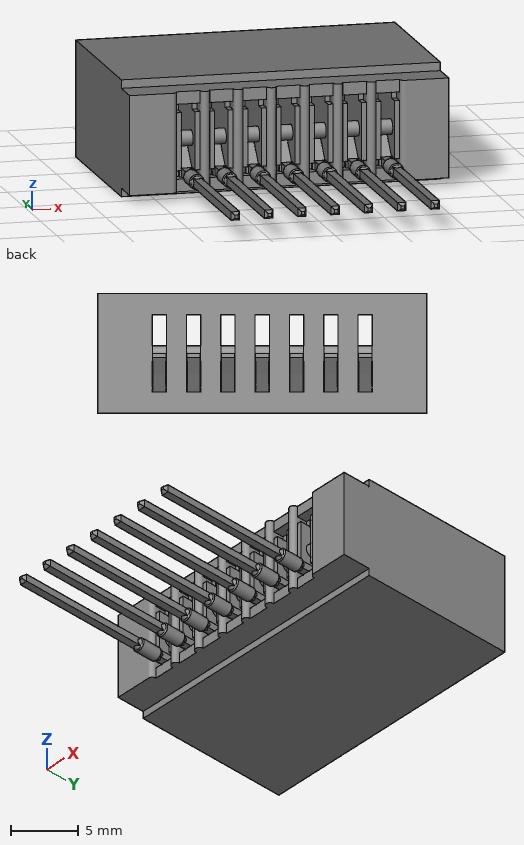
import cadquery as cq
import math


housing_width = 24.37
housing_depth = 16.38
housing_height = 8.88
nose_depth = 2.55
nose_height = 7.6

contact_count = 7
pitch = 2.55
contact_places = [(i - (contact_count - 1) / 2) * pitch for i in range(contact_count)]

rib_radius = 0.37
notch_depth = 0.4
notch_width = pitch - 2 * rib_radius

slot_width = 1.05
slot_height = 5.7
pocket_height = 0.65
pocket_depth = 0.92

stop_bar_radius = 0.58
stop_bar_y = 1.53

pin_width = 0.65
pin_length = 14.25
tip_length = 0.3
tip_width = 0.25
pin_z = -slot_height / 2 + pin_width / 2

collar_radius = 0.565
collar_front = -2.3
collar_back = -0.37
collar_chamfer = 0.1
collar_cone_radius = collar_radius - collar_chamfer
collar_cone_length = 0.3

spring_width = 0.98
spring_start = 1.07
spring_thickness = 0.3
ramp_start_y = 1.22
spring_bend_y = 2.15
spring_bend_z = -1.22
spring_end_y = 3.05
spring_end_z = 0.0


def box_between(width, y_front, y_back, height, x=0, z=0):
    """Box centred on x and z, reaching from y_front to y_back."""
    depth = y_back - y_front
    return cq.Workplane("XY").box(width, depth, height).translate((x, y_front + depth / 2, z))


def make_notch(x):
    """Cutter for one front notch; its mouth flares around the ribs on both sides."""
    diagonal = rib_radius * math.sqrt(0.5)
    half_pitch = pitch / 2
    half_notch = notch_width / 2
    return (
        cq.Workplane("XY")
        .moveTo(-half_pitch, 0)
        .threePointArc((-half_pitch + diagonal, rib_radius - diagonal), (-half_notch, rib_radius))
        .lineTo(-half_notch, notch_depth)
        .lineTo(half_notch, notch_depth)
        .lineTo(half_notch, rib_radius)
        .threePointArc((half_pitch - diagonal, rib_radius - diagonal), (half_pitch, 0))
        .close()
        .extrude(nose_height)
        .translate((x, 0, -nose_height / 2))
    )


def make_stop_bar(x):
    """Round bar that joins the two walls of one slot."""
    return (
        cq.Workplane("YZ")
        .center(stop_bar_y, 0)
        .circle(stop_bar_radius)
        .extrude(slot_width)
        .translate((x - slot_width / 2, 0, 0))
    )


def make_housing():
    """Block with a stepped nose and an opening at each contact position."""
    body = box_between(housing_width, nose_depth, housing_depth, housing_height)
    body = body.union(box_between(housing_width, 0, nose_depth, nose_height))
    pocket_z = (slot_height - pocket_height) / 2
    for x in contact_places:
        body = body.cut(make_notch(x))
        body = body.cut(box_between(slot_width, 0, housing_depth, slot_height, x))
        for z in (-pocket_z, pocket_z):
            pocket = box_between(notch_width, notch_depth, notch_depth + pocket_depth, pocket_height, x, z)
            body = body.cut(pocket)
        body = body.union(make_stop_bar(x))
    return body


def make_pin():
    """Square pin along Y, centred on x = z = 0, with a tapered tip."""
    shank_front = tip_length - pin_length
    shank = box_between(pin_width, shank_front, spring_start, pin_width)
    tip = (
        cq.Workplane("XZ", origin=(0, shank_front, 0))
        .rect(pin_width, pin_width)
        .workplane(offset=tip_length)
        .rect(tip_width, tip_width)
        .loft(ruled=True)
    )
    return shank.union(tip)


def make_collar():
    """Round collar about the pin axis, chamfered and coned down to the pin at both ends."""
    return (
        cq.Workplane("XY")
        .moveTo(0, collar_front - collar_cone_length)
        .lineTo(pin_width / 2, collar_front - collar_cone_length)
        .lineTo(collar_cone_radius, collar_front)
        .lineTo(collar_radius, collar_front + collar_chamfer)
        .lineTo(collar_radius, collar_back - collar_chamfer)
        .lineTo(collar_cone_radius, collar_back)
        .lineTo(pin_width / 2, collar_back + collar_cone_length)
        .lineTo(0, collar_back + collar_cone_length)
        .close()
        .revolve(360, (0, 0, 0), (0, 1, 0))
    )


def make_spring():
    """Wide strip that leaves the back of the pin and rises in two slopes behind the stop bar."""
    floor = -slot_height / 2
    pin_top = floor + pin_width
    return (
        cq.Workplane("YZ")
        .moveTo(spring_start, floor)
        .lineTo(spring_start, pin_top)
        .lineTo(ramp_start_y, pin_top)
        .lineTo(spring_bend_y, spring_bend_z)
        .lineTo(spring_end_y, spring_end_z)
        .lineTo(spring_end_y, spring_end_z - spring_thickness)
        .lineTo(spring_bend_y, spring_bend_z - spring_thickness)
        .lineTo(ramp_start_y, floor)
        .close()
        .extrude(spring_width)
        .translate((-spring_width / 2, 0, 0))
    )


def make_contact(x):
    """One contact: square pin, collar and spring in one piece."""
    pin = make_pin().union(make_collar()).translate((0, 0, pin_z))
    return pin.union(make_spring()).translate((x, 0, 0))


housing = make_housing()
contacts = [make_contact(x) for x in contact_places]

result = cq.Compound.makeCompound([housing.val(), *[contact.val() for contact in contacts]])